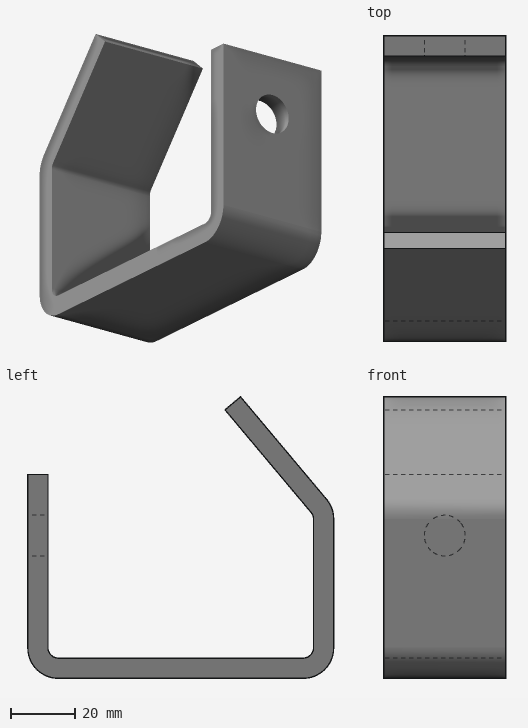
import cadquery as cq
import math

width = 38.1
depth = 95.25
total_height = 87.65
thickness = 6.35
back_height = 63.5
inner_radius = thickness / 2
outer_radius = inner_radius + thickness

lip_angle = 40.0
lip_bend_height = 49.6

hole_diameter = 12.7
hole_drop = 19.05

diagonal = math.cos(math.radians(45))
lean_sin = math.sin(math.radians(lip_angle))
lean_cos = math.cos(math.radians(lip_angle))
lip_length = (total_height - lip_bend_height - outer_radius * lean_sin) / lean_cos


def bend_point(radius, angle):
    """Point (y, z) on the lip bend, angle in degrees up from the front wall."""
    turn = math.radians(angle)
    return (
        outer_radius - radius * math.cos(turn),
        lip_bend_height + radius * math.sin(turn),
    )


def along_lip(point):
    """Move a (y, z) point from the lip bend to the free end of the lip."""
    return (point[0] + lip_length * lean_sin, point[1] + lip_length * lean_cos)


def make_strip():
    """Bent strip profile in the YZ plane, front face at Y = 0, extruded along X."""
    outer_bend_end = bend_point(outer_radius, lip_angle)
    inner_bend_end = bend_point(inner_radius, lip_angle)
    half_angle = lip_angle / 2
    corner_offset = outer_radius - outer_radius * diagonal
    inner_offset = outer_radius - inner_radius * diagonal

    profile = (
        cq.Workplane("YZ")
        .moveTo(depth, back_height)
        .lineTo(depth, outer_radius)
        .threePointArc((depth - corner_offset, corner_offset), (depth - outer_radius, 0))
        .lineTo(outer_radius, 0)
        .threePointArc((corner_offset, corner_offset), (0, outer_radius))
        .lineTo(0, lip_bend_height)
        .threePointArc(bend_point(outer_radius, half_angle), outer_bend_end)
        .lineTo(*along_lip(outer_bend_end))
        .lineTo(*along_lip(inner_bend_end))
        .lineTo(*inner_bend_end)
        .threePointArc(bend_point(inner_radius, half_angle), (thickness, lip_bend_height))
        .lineTo(thickness, outer_radius)
        .threePointArc((inner_offset, inner_offset), (outer_radius, thickness))
        .lineTo(depth - outer_radius, thickness)
        .threePointArc((depth - inner_offset, inner_offset), (depth - thickness, outer_radius))
        .lineTo(depth - thickness, back_height)
        .close()
    )
    return profile.extrude(width / 2, both=True)


def make_hole():
    """Mounting hole cutter through the back plate only."""
    return (
        cq.Workplane("XZ", origin=(0, depth, back_height - hole_drop))
        .circle(hole_diameter / 2)
        .extrude(thickness)
    )


result = make_strip().cut(make_hole())